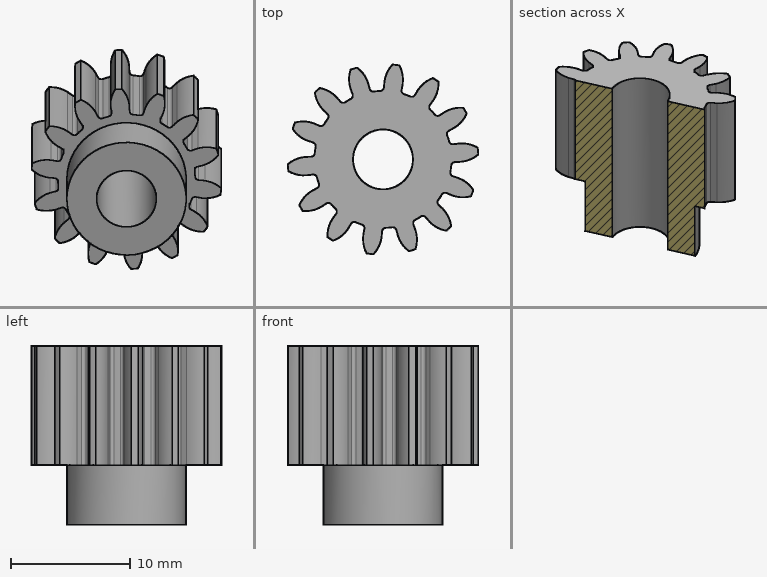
import cadquery as cq
import math

tooth_count = 14
tip_diameter = 16.0
module = tip_diameter / (tooth_count + 2)
tip_radius = tip_diameter / 2
tooth_depth = 2.25 * module
root_radius = tip_radius - tooth_depth
flank_start_radius = 6.55
flank_middle_radius = 7.35

root_half_width = 0.75
flank_start_half_width = 0.78
flank_middle_half_width = 0.64
tip_half_width = 0.29

root_fillet = 0.3
first_tooth_angle = 5

gear_height = 10 * module
hub_height = gear_height / 2
hub_radius = 5 * module
bore_radius = hub_radius / 2


def polar_point(radius, angle):
    return (radius * math.cos(angle), radius * math.sin(angle))


def make_gear():
    """Toothed disc standing on top of the hub, with rounded tooth roots."""
    tooth_pitch = 2 * math.pi / tooth_count
    start_angle = math.radians(first_tooth_angle)

    def flank_point(radius, half_width, centre, side):
        return polar_point(radius, centre + side * half_width / radius)

    outline = cq.Workplane("XY").workplane(offset=hub_height).moveTo(
        *flank_point(root_radius, root_half_width, start_angle, -1)
    )
    for tooth in range(tooth_count):
        centre = start_angle + tooth * tooth_pitch
        next_centre = centre + tooth_pitch
        outline = (
            outline
            .lineTo(*flank_point(flank_start_radius, flank_start_half_width, centre, -1))
            .threePointArc(
                flank_point(flank_middle_radius, flank_middle_half_width, centre, -1),
                flank_point(tip_radius, tip_half_width, centre, -1),
            )
            .threePointArc(
                polar_point(tip_radius, centre),
                flank_point(tip_radius, tip_half_width, centre, 1),
            )
            .threePointArc(
                flank_point(flank_middle_radius, flank_middle_half_width, centre, 1),
                flank_point(flank_start_radius, flank_start_half_width, centre, 1),
            )
            .lineTo(*flank_point(root_radius, root_half_width, centre, 1))
            .threePointArc(
                polar_point(root_radius, centre + tooth_pitch / 2),
                flank_point(root_radius, root_half_width, next_centre, -1),
            )
        )
    gear = outline.close().extrude(gear_height)

    root_limit = (root_radius + flank_start_radius) / 2
    root_edges = gear.edges("|Z").filter(
        lambda edge: math.hypot(edge.Center().x, edge.Center().y) < root_limit
    )
    return gear.newObject(root_edges.vals()).fillet(root_fillet)


def make_hub():
    return cq.Workplane("XY").circle(hub_radius).extrude(hub_height)


def make_bore():
    return cq.Workplane("XY").circle(bore_radius).extrude(hub_height + gear_height)


result = make_hub().union(make_gear()).cut(make_bore())